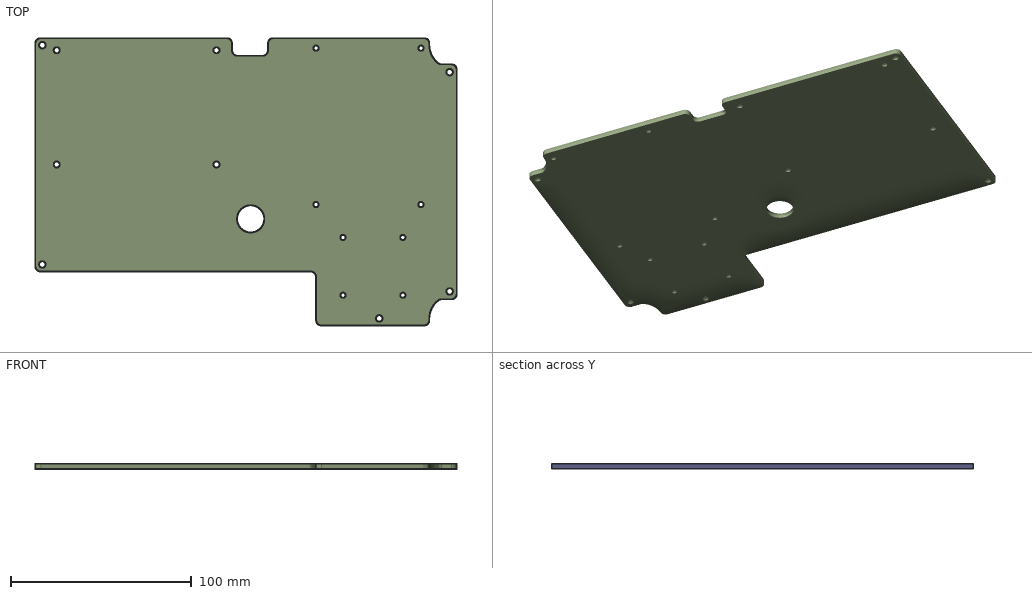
import cadquery as cq
import math

length = 233.0
width = 158.9
thickness = 3.0
corner_radius = 3.0

ledge_y = 29.8
tab_left = 155.1
notch_left = 108.8
notch_right = 128.5
notch_depth = 9.8
relief_inset = 15.1
relief_depth = 14.5
relief_radius = 13.0
relief_center_drop = 3.7

mount_diameter = 3.5
mount_inset = 4.0
right_mount_inset = 18.9
tab_mount_x = 190.0
window_diameter = 15.0
window_center = (119.0, 59.0)
board_diameter = 3.3
board_xs = (11.9, 100.2)
board_ys = (89.0, 152.0)
small_diameter = 2.8
tall_pattern_xs = (155.1, 213.1)
tall_pattern_ys = (66.8, 153.3)
tab_pattern_xs = (170.0, 203.0)
tab_pattern_ys = (16.8, 48.7)


def make_plate():
    """Plate with a stepped lower edge, a notch and rounded corners."""
    notch_floor = width - notch_depth
    outline = [
        (0, ledge_y),
        (tab_left, ledge_y),
        (tab_left, 0),
        (length, 0),
        (length, width),
        (notch_right, width),
        (notch_right, notch_floor),
        (notch_left, notch_floor),
        (notch_left, width),
        (0, width),
    ]
    return cq.Workplane("XY").polyline(outline).close().extrude(thickness)


def make_relief():
    """Cutter for the lower right corner: straight sides joined by an arc."""
    left = length - relief_inset
    center_x = left + relief_radius
    rise = relief_depth - relief_center_drop
    arc_end_x = center_x - math.sqrt(relief_radius**2 - rise**2)
    mid_angle = (math.pi + math.atan2(rise, arc_end_x - center_x)) / 2
    arc_mid = (
        center_x + relief_radius * math.cos(mid_angle),
        relief_center_drop + relief_radius * math.sin(mid_angle),
    )
    return (
        cq.Workplane("XY")
        .moveTo(left, 0)
        .lineTo(left, relief_center_drop)
        .threePointArc(arc_mid, (arc_end_x, relief_depth))
        .lineTo(length, relief_depth)
        .lineTo(length, 0)
        .close()
        .extrude(thickness)
    )


def grid(xs, ys):
    """All hole centres on a rectangular pattern."""
    return [(x, y) for x in xs for y in ys]


def drill(body, diameter, centers):
    """Cut through holes at the given centres."""
    cutters = cq.Workplane("XY").pushPoints(centers).circle(diameter / 2).extrude(thickness)
    return body.cut(cutters)


relief = make_relief()
upper_relief = relief.mirror("XZ").translate((0, width, 0))
plate = make_plate().cut(relief).cut(upper_relief)
tangent_x = length - relief_inset
tangent_ys = (relief_center_drop, width - relief_center_drop)


def is_tangent_edge(edge):
    """True where the relief arc runs smoothly into its straight side."""
    center = edge.Center()
    return any(math.hypot(center.x - tangent_x, center.y - y) < 0.02 for y in tangent_ys)


corner_edges = [edge for edge in plate.edges("|Z").vals() if not is_tangent_edge(edge)]
plate = plate.newObject(corner_edges).fillet(corner_radius)

mount_centers = grid((mount_inset,), (ledge_y + mount_inset, width - mount_inset))
mount_centers += grid((length - mount_inset,), (right_mount_inset, width - right_mount_inset))
mount_centers.append((tab_mount_x, mount_inset))
plate = drill(plate, mount_diameter, mount_centers)

plate = drill(plate, board_diameter, grid(board_xs, board_ys))
plate = drill(plate, small_diameter, grid(tall_pattern_xs, tall_pattern_ys))
plate = drill(plate, small_diameter, grid(tab_pattern_xs, tab_pattern_ys))
plate = drill(plate, window_diameter, [window_center])

result = plate